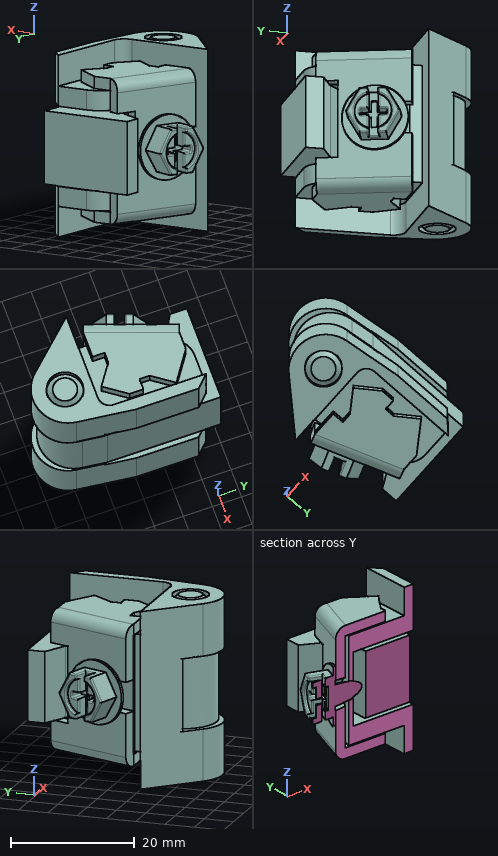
import cadquery as cq
import math


leaf_height = 30.0
hinge_radius = 6.0
base_top_y = 4.0
base_tip_x = -11.9
wall_outer_x = 7.13
wall_thickness = 2.0
wall_top_y = 21.9
wall_taper_start_y = 9.2
inner_fillet = 2.0
wall_inner_x = wall_outer_x - wall_thickness
knuckle_slot_height = 12.3
knuckle_slot_x = -6.82
arm_slot_height = 13.2
arm_slot_x = -5.5

block_height = 19.8
block_front_x = -7.9
block_round = 4.0
block_ledge_y = 6.33
block_front_gap = 0.76
block_front_tilt = 18.8

pin_radius = 3.0
pin_chamfer = 1.0
pin_y = -0.5

arm_height = 12.1
arm_knuckle_y = 1.0
arm_back_x = 6.45
arm_taper_start_y = 4.4
arm_front_x = -3.0
arm_top_y = 24.0
hook_tip_x = -9.9
hook_tip_y = 21.0
hook_bend_x, hook_bend_y = -5.87, 18.9

clamp_tilt = 19.5
clamp_height = 24.0
flange_thickness = 2.0
web_thickness = 2.0
face_length = 15.54
face_low_x, face_low_y = -11.32, 6.67
clamp_round = 2.0
arm_notch_height = 13.0
arm_notch_depth = 3.57
screw_slot_width = 5.3
lip_end_x = -4.94
lip_step_x = -3.18
lip_step_y = 8.07
low_point = (0.39, 5.6)
tab_x = 3.14
tab_low_y = 9.47
tab_high_y = 11.84
tab_root_x = 1.25
tab_root_top_y = 13.57
far_point = (3.85, 17.23)
crown_end_x = -1.15

screw_position = 5.92
washer_diameter = 10.78
washer_thickness = 0.5
head_flats = 7.6
head_height = 4.01
recess_diameter = 6.0
recess_depth = 0.68
drive_slot_width = 1.6
drive_slot_depth = 2.5
cross_length = 4.5
cross_width = 1.0
cross_depth = 3.1
cross_corner_radius = 0.3
head_edge_round = 0.25
shank_diameter = 4.0
shank_length = 9.0

along = (math.sin(math.radians(clamp_tilt)), math.cos(math.radians(clamp_tilt)))
inward = (along[1], -along[0])


def on_clamp(distance, depth=0.0):
    """Point at a distance up the clamp face and a depth behind it."""
    return (
        face_low_x + distance * along[0] + depth * inward[0],
        face_low_y + distance * along[1] + depth * inward[1],
    )


def web_back_x(y):
    """X of the back of the clamp web at a given Y."""
    start_x, start_y = on_clamp(0, web_thickness)
    return start_x + (y - start_y) * along[0] / along[1]


def tangent_point(point, centre_y, side):
    """Point where a line from the given point touches the hinge circle at (0, centre_y)."""
    dx = point[0]
    dy = point[1] - centre_y
    reach = math.acos(hinge_radius / math.hypot(dx, dy))
    angle = math.atan2(dy, dx) + side * reach
    return (hinge_radius * math.cos(angle), centre_y + hinge_radius * math.sin(angle))


def prism(outline, height):
    """Extrude a closed XY outline to equal distances on both sides of Z = 0."""
    return outline.extrude(height / 2, both=True)


def box(x_min, x_max, y_min, y_max, height):
    """Block between X and Y limits, centred on Z = 0."""
    outline = cq.Workplane("XY").moveTo(x_min, y_min).lineTo(x_max, y_min)
    return prism(outline.lineTo(x_max, y_max).lineTo(x_min, y_max).close(), height)


def cylinder_on_clamp(diameter, depth, length):
    """Cylinder on the screw axis, running inward from a depth behind the clamp face."""
    centre = on_clamp(screw_position, depth)
    plane = cq.Plane(origin=(*centre, 0), xDir=(*along, 0), normal=(*inward, 0))
    return cq.Workplane(plane).circle(diameter / 2).extrude(length)


def make_pin():
    pin = cq.Workplane("XY").center(0, pin_y).circle(pin_radius)
    return prism(pin, leaf_height).faces("|Z").chamfer(pin_chamfer)


def pin_hole():
    return prism(cq.Workplane("XY").center(0, pin_y).circle(pin_radius), leaf_height)


def make_guide_block():
    front_low = web_back_x(block_ledge_y) + block_front_gap
    front_top = front_low + (wall_top_y - block_ledge_y) * math.tan(math.radians(block_front_tilt))
    outline = (
        cq.Workplane("XY")
        .moveTo(block_front_x, base_top_y)
        .lineTo(wall_inner_x, base_top_y)
        .lineTo(wall_inner_x, wall_top_y)
        .lineTo(front_top, wall_top_y)
        .lineTo(front_low, block_ledge_y)
        .lineTo(block_front_x, block_ledge_y)
        .close()
    )
    block = prism(outline, block_height)
    corner = cq.selectors.NearestToPointSelector((front_top, wall_top_y, 0))
    return block.edges("|Z").edges(corner).fillet(block_round)


def make_leaf():
    tip = (base_tip_x, base_top_y)
    wall_corner = (wall_outer_x, wall_taper_start_y)
    outline = (
        cq.Workplane("XY")
        .moveTo(*tip)
        .lineTo(*tangent_point(tip, 0, 1))
        .threePointArc((0, -hinge_radius), tangent_point(wall_corner, 0, -1))
        .lineTo(*wall_corner)
        .lineTo(wall_outer_x, wall_top_y - wall_thickness)
        .lineTo(wall_inner_x, wall_top_y)
        .lineTo(wall_inner_x, base_top_y + inner_fillet)
        .radiusArc((wall_inner_x - inner_fillet, base_top_y), inner_fillet)
        .close()
    )
    leaf = prism(outline, leaf_height).union(make_guide_block())
    knuckle_slot = box(knuckle_slot_x, wall_outer_x, -hinge_radius, base_top_y, knuckle_slot_height)
    arm_slot = box(arm_slot_x, wall_outer_x, base_top_y, wall_top_y, arm_slot_height)
    leaf = leaf.cut(knuckle_slot).cut(arm_slot).cut(pin_hole())
    return leaf.cut(cylinder_on_clamp(shank_diameter, 0, shank_length))


def make_arm():
    back_corner = (arm_back_x, arm_taper_start_y)
    front_rise = math.sqrt(hinge_radius**2 - arm_front_x**2)
    bend_to_front = arm_front_x - hook_bend_x
    outline = (
        cq.Workplane("XY")
        .moveTo(arm_front_x, arm_knuckle_y + front_rise)
        .threePointArc((0, arm_knuckle_y - hinge_radius), tangent_point(back_corner, arm_knuckle_y, -1))
        .lineTo(*back_corner)
        .lineTo(arm_back_x, arm_top_y)
        .lineTo(hook_tip_x, arm_top_y)
        .lineTo(hook_tip_x, hook_tip_y)
        .lineTo(hook_bend_x, hook_bend_y)
        .lineTo(arm_front_x, hook_bend_y - bend_to_front)
        .close()
    )
    arm = prism(outline, arm_height).cut(pin_hole())
    return arm.cut(cylinder_on_clamp(shank_diameter, 0, shank_length))


def make_clamp():
    heel = on_clamp(0, clamp_round)
    crown = on_clamp(face_length, clamp_round)
    outline = (
        cq.Workplane("XY")
        .moveTo(*on_clamp(0))
        .lineTo(*heel)
        .lineTo(lip_end_x, heel[1])
        .lineTo(lip_end_x, lip_step_y)
        .lineTo(lip_step_x, lip_step_y)
        .lineTo(*low_point)
        .lineTo(tab_x, tab_low_y)
        .lineTo(tab_x, tab_high_y)
        .lineTo(tab_root_x, tab_high_y)
        .lineTo(tab_root_x, tab_root_top_y)
        .lineTo(*far_point)
        .lineTo(crown_end_x, crown[1])
        .lineTo(*crown)
        .lineTo(*on_clamp(face_length))
        .close()
    )
    clamp = prism(outline, clamp_height)
    face = cq.Plane(origin=(*on_clamp(0), 0), xDir=(*along, 0), normal=(*inward, 0))
    front_edges = cq.selectors.BoxSelector(
        (face_low_x, face_low_y, -clamp_height),
        (*on_clamp(face_length), clamp_height),
    )
    along_face = cq.selectors.ParallelDirSelector(cq.Vector(*along, 0))
    long_edges = clamp.edges(along_face).edges(front_edges)
    clamp = long_edges.fillet(clamp_round)

    inner_height = clamp_height - 2 * flange_thickness
    behind_web = cq.Workplane(face).workplane(offset=web_thickness)
    cavity = behind_web.center(face_length / 2, 0).rect(2 * face_length, inner_height).extrude(face_length)
    arm_notch = (
        cq.Workplane(face)
        .center(face_length - arm_notch_depth / 2, 0)
        .rect(arm_notch_depth, arm_notch_height)
        .extrude(web_thickness)
    )
    screw_slot = (
        cq.Workplane(face)
        .center(screw_position / 2, 0)
        .rect(screw_position, screw_slot_width)
        .extrude(2 * web_thickness)
        .union(cylinder_on_clamp(screw_slot_width, 0, 2 * web_thickness))
    )
    return clamp.cut(cavity).cut(arm_notch).cut(screw_slot)


def make_drive_cross():
    """Cross-shaped drive cutter with round arm ends, hanging below the plane Z = head_height."""
    top = cq.Workplane("XY").workplane(offset=head_height)
    cross = top.rect(cross_length, cross_width).extrude(-cross_depth)
    cross = cross.union(top.rect(cross_width, cross_length).extrude(-cross_depth))
    upright = cross.edges("|Z").vals()
    arm_ends = [edge for edge in upright if math.hypot(edge.Center().x, edge.Center().y) > cross_width]
    return cross.newObject(arm_ends).fillet(cross_corner_radius)


def is_head_edge_rounded(edge):
    """True for the edges of the top face, the recess floor and the open ends of the drive slot."""
    limits = edge.BoundingBox()
    centre = edge.Center()
    tolerance = 1e-3

    def lies_at(height):
        return max(abs(limits.zmin - height), abs(limits.zmax - height)) < tolerance

    on_recess_wall = edge.geomType() == "CIRCLE" and abs(edge.radius() - recess_diameter / 2) < tolerance
    on_recess_floor = lies_at(head_height - recess_depth) and not on_recess_wall
    on_hex_flat = abs(abs(centre.y) - head_flats / 2) < tolerance
    on_slot_end = on_hex_flat and abs(centre.x) < drive_slot_width and centre.z > tolerance
    return lies_at(head_height) or on_recess_floor or on_slot_end


def make_head():
    """Hexagon head standing on the plane Z = 0, with its drive slot along Y."""
    corner_diameter = head_flats / math.cos(math.pi / 6)
    head = cq.Workplane("XY").polygon(6, corner_diameter).extrude(head_height)
    top = cq.Workplane("XY").workplane(offset=head_height)
    head = head.cut(top.circle(recess_diameter / 2).extrude(-recess_depth))
    head = head.cut(top.rect(drive_slot_width, corner_diameter).extrude(-drive_slot_depth))
    head = head.cut(make_drive_cross())
    rounded_edges = [edge for edge in head.edges().vals() if is_head_edge_rounded(edge)]
    return head.newObject(rounded_edges).fillet(head_edge_round)


def make_screw():
    seat = on_clamp(screw_position, -washer_thickness)
    axis = cq.Plane(origin=(*seat, 0), xDir=(*along, 0), normal=(-inward[0], -inward[1], 0))
    head = cq.Workplane(make_head().val().moved(cq.Location(axis)))
    washer = cylinder_on_clamp(washer_diameter, -washer_thickness, washer_thickness)
    shank = cylinder_on_clamp(shank_diameter, 0, shank_length)
    return head.union(washer).union(shank)


leaf = make_leaf()
arm = make_arm()
pin = make_pin()
clamp = make_clamp()
screw = make_screw()
result = cq.Compound.makeCompound([leaf.val(), arm.val(), pin.val(), clamp.val(), screw.val()])